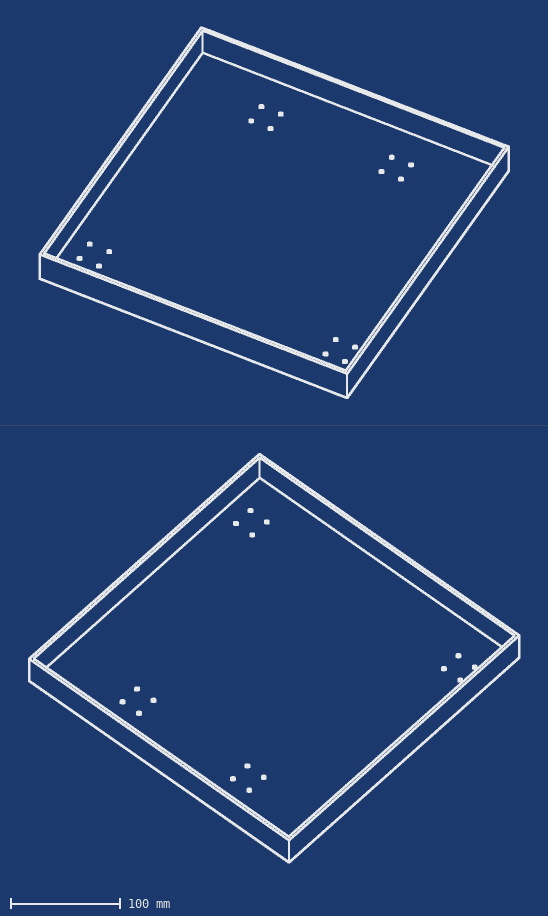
import cadquery as cq

side = 316.0
height = 33.0
wall = 3.0
floor = 3.0

hole_diameter = 3.5
hole_pitch = 20.0
front_group_x = 126.5
back_group_x = 67.0
group_y = 111.2

group_centers = [
    (-front_group_x, -group_y),
    (front_group_x, -group_y),
    (-back_group_x, group_y),
    (back_group_x, group_y),
]


def make_tray():
    """Box centred on the Z axis with its bottom at Z = 0, hollowed from above."""
    inner_side = side - 2 * wall
    body = cq.Workplane("XY").box(side, side, height, centered=(True, True, False))
    cavity = (
        cq.Workplane("XY")
        .workplane(offset=floor)
        .rect(inner_side, inner_side)
        .extrude(height - floor)
    )
    return body.cut(cavity)


def make_hole_group(center):
    """Four cylinders at the corners of a square, as tall as the floor is thick."""
    return (
        cq.Workplane("XY")
        .center(*center)
        .rect(hole_pitch, hole_pitch, forConstruction=True)
        .vertices()
        .circle(hole_diameter / 2)
        .extrude(floor)
    )


result = make_tray()
for group_center in group_centers:
    result = result.cut(make_hole_group(group_center))